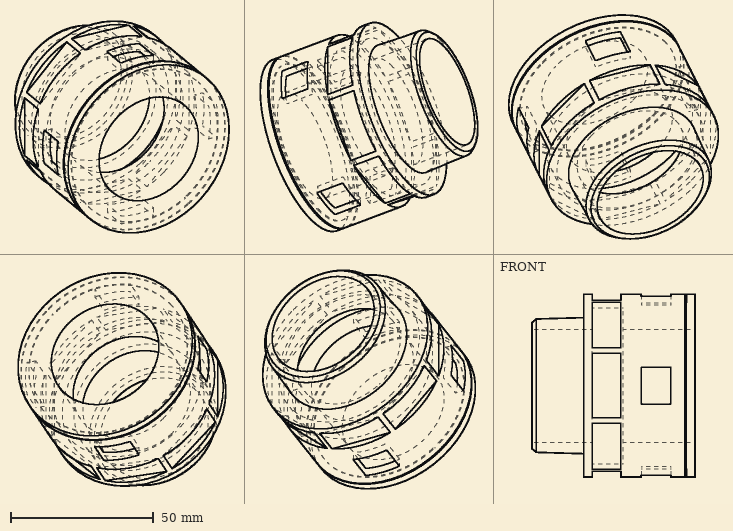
import cadquery as cq

total_length = 57.0
body_diameter = 64.0

spigot_length = 18.05
spigot_nose_diameter = 44.15
spigot_tip_diameter = 46.7
spigot_root_diameter = 47.7
spigot_chamfer_length = 1.55

flange_thickness = 3.1
flat_length = 10.0
flat_count = 8
across_flats = 59.9

window_start = 38.2
window_length = 10.4
window_width = 13.0
window_floor_diameter = 58.0
window_count = 4
window_corner_radius = 0.4

end_ring_thickness = 3.0
groove_width = 0.5
groove_diameter = 58.2

bore_diameter = 39.5
cavity_diameter = 54.5
cavity_start = 20.85
cavity_end = 31.8

FULL_TURN = 360.0


def x_cylinder(diameter, start, length):
    """Solid cylinder along X."""
    return cq.Workplane("YZ", origin=(start, 0, 0)).circle(diameter / 2).extrude(length)


def x_tube(outer_diameter, inner_diameter, start, length):
    """Hollow cylinder along X."""
    section = cq.Workplane("YZ", origin=(start, 0, 0)).circle(outer_diameter / 2)
    return section.circle(inner_diameter / 2).extrude(length)


def turned_blank():
    """Chamfered, tapered spigot and the full-diameter body."""
    profile = [
        (0, 0),
        (0, spigot_nose_diameter / 2),
        (spigot_chamfer_length, spigot_tip_diameter / 2),
        (spigot_length, spigot_root_diameter / 2),
        (spigot_length, body_diameter / 2),
        (total_length, body_diameter / 2),
        (total_length, 0),
    ]
    return cq.Workplane("XY").polyline(profile).close().revolve(FULL_TURN, (0, 0, 0), (1, 0, 0))


def wrench_flat_cutter():
    """Band of material outside the octagon of wrench flats."""
    start = spigot_length + flange_thickness
    band = x_cylinder(body_diameter + 0.65, start, flat_length)
    octagon = (
        cq.Workplane("YZ", origin=(start, 0, 0))
        .polygon(flat_count, across_flats, circumscribed=True)
        .extrude(flat_length)
    )
    return band.cut(octagon)


def window_cutter():
    """Rounded rectangular pocket on the +Z side with a cylindrical floor."""
    block = (
        cq.Workplane("XY")
        .center(window_start + window_length / 2, 0)
        .rect(window_length, window_width)
        .extrude(body_diameter)
        .edges("|Z")
        .fillet(window_corner_radius)
    )
    return block.cut(x_cylinder(window_floor_diameter, window_start, window_length))


result = turned_blank()
result = result.cut(wrench_flat_cutter())

for index in range(window_count):
    angle = index * FULL_TURN / window_count
    result = result.cut(window_cutter().rotate((0, 0, 0), (1, 0, 0), angle))

groove_start = total_length - end_ring_thickness - groove_width
result = result.cut(x_tube(body_diameter + 0.65, groove_diameter, groove_start, groove_width))

result = result.cut(x_cylinder(bore_diameter, 0, total_length))
result = result.cut(x_cylinder(cavity_diameter, cavity_start, cavity_end - cavity_start))